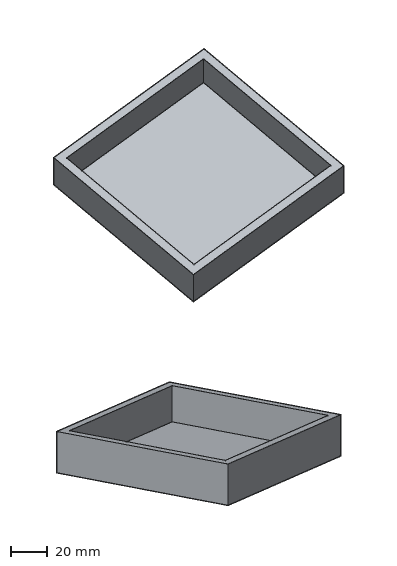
import cadquery as cq

side = 112.0
height = 23.6
wall = 5.0
floor = 3.0

cavity_side = side - 2 * wall
cavity_depth = height - floor

body = cq.Workplane("XY").box(side, side, height, centered=(True, True, False))

result = body.faces(">Z").workplane().rect(cavity_side, cavity_side).cutBlind(-cavity_depth)